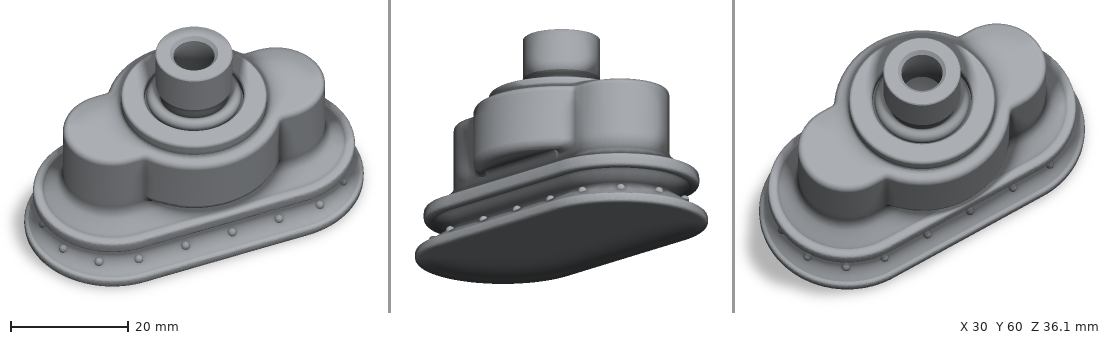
import cadquery as cq
import math

straight_length = 30.0
end_center_y = straight_length / 2
cup_top_z = 23.8

lip_radius = 15.0
lip_top_z = 1.8
lip_flat_radius = 14.2

waist_radius = 9.6
waist_z = 4.85

flange_radius = 13.5
flange_bottom_z = 6.85
flange_top_z = 9.1
flange_flat_radius = 12.8
flange_cone_radius = 11.9

lobe_radius = 8.4
shoulder_radius = 9.25
shoulder_z = 11.2
shoulder_turn = math.atan2(flange_cone_radius - shoulder_radius, shoulder_z - flange_top_z)
shoulder_arc_radius = (shoulder_radius - lobe_radius) / (1 - math.cos(shoulder_turn))
lobe_wall_z = shoulder_z + shoulder_arc_radius * math.sin(shoulder_turn)

drum_radius = 15.0
drum_bottom_z = 12.85
drum_bottom_fillet = 1.5
drum_lobe_fillet = 1.0
top_fillet = 0.95

web_width = 18.35
web_length = 17.9
web_fillet = 0.7

dot_count = 18
dot_radius = 0.8
dot_z = 3.1
dot_offset = 12.0
dot_pitch = 2 * (straight_length + math.pi * lip_radius) / dot_count

fitting_top_z = 36.05
thread_diameter = 13.15
thread_radius = thread_diameter / 2
thread_bottom_z = 28.9
thread_chamfer = 0.2
neck_radius = 5.7
undercut_height = thread_radius - neck_radius
bore_diameter = 7.0
bore_radius = bore_diameter / 2
bore_chamfer = 0.6
bore_depth = 8.4
bore_dish_depth = 1.5

washer_radius = 12.4
washer_top_z = 26.1
washer_fillet = 0.55
washer_foot = 0.2
pocket_radius = 8.5
pocket_floor_z = 24.4
pocket_chamfer = 0.25

ring_section_radius = 1.2
ring_center_radius = neck_radius + ring_section_radius
ring_center_z = pocket_floor_z + ring_section_radius

selection_margin = 0.05


def cup_profile():
    """Half section of the oval cup: outward distance and height."""
    half_turn = shoulder_turn / 2
    shoulder_arc_middle = (
        lobe_radius + shoulder_arc_radius * (1 - math.cos(half_turn)),
        lobe_wall_z - shoulder_arc_radius * math.sin(half_turn),
    )
    lip_rim = [(lip_radius, lip_top_z / 2), (lip_flat_radius, lip_top_z)]
    flange_rim = [
        (flange_radius, (flange_bottom_z + flange_top_z) / 2),
        (flange_flat_radius, flange_top_z),
    ]
    rim_directions = [(1, 0), (0, 1), (-1, 0)]
    return (
        cq.Workplane("XZ")
        .lineTo(lip_flat_radius, 0)
        .spline(lip_rim, tangents=rim_directions, includeCurrent=True)
        .lineTo(waist_radius, waist_z)
        .lineTo(flange_cone_radius, flange_bottom_z)
        .lineTo(flange_flat_radius, flange_bottom_z)
        .spline(flange_rim, tangents=rim_directions, includeCurrent=True)
        .lineTo(flange_cone_radius, flange_top_z)
        .lineTo(shoulder_radius, shoulder_z)
        .threePointArc(shoulder_arc_middle, (lobe_radius, lobe_wall_z))
        .lineTo(0, lobe_wall_z)
        .close()
    )


def oval_base():
    """The half section carried once round the oval."""
    half_run = cup_profile().extrude(straight_length).translate((0, end_center_y, 0))
    round_end = cup_profile().revolve(360, (0, 0), (0, 1)).translate((0, end_center_y, 0))
    run = half_run.union(half_run.mirror("YZ"))
    return run.union(round_end).union(round_end.mirror("XZ"))


def drum():
    """Round drum with a rounded bottom edge."""
    disc = cq.Workplane("XY").workplane(offset=drum_bottom_z).circle(drum_radius)
    disc = disc.extrude(cup_top_z - drum_bottom_z)
    return disc.faces("<Z").edges().fillet(drum_bottom_fillet)


def upper_block():
    """Two lobes and the drum between them, with rounded junctions and top edge."""
    lobes = cq.Workplane("XY").workplane(offset=shoulder_z)
    lobes = lobes.slot2D(straight_length + 2 * lobe_radius, 2 * lobe_radius, 90)
    block = lobes.extrude(cup_top_z - shoulder_z).union(drum())
    reach_x = lobe_radius + selection_margin
    reach_y = math.sqrt(drum_radius**2 - lobe_radius**2) + selection_margin
    junctions = cq.selectors.BoxSelector(
        (-reach_x, -reach_y, drum_bottom_z - selection_margin),
        (reach_x, reach_y, cup_top_z - selection_margin),
    )
    block = block.edges(junctions).fillet(drum_lobe_fillet)
    return block.faces(">Z").edges().fillet(top_fillet)


def drum_web():
    """Flat-sided neck under the drum, flared into its underside."""
    half_width = web_width / 2
    flare_start_z = drum_bottom_z - web_fillet
    return (
        cq.Workplane("XZ")
        .moveTo(-half_width, shoulder_z)
        .lineTo(half_width, shoulder_z)
        .lineTo(half_width, flare_start_z)
        .radiusArc((half_width + web_fillet, drum_bottom_z), web_fillet)
        .lineTo(-half_width - web_fillet, drum_bottom_z)
        .radiusArc((-half_width, flare_start_z), web_fillet)
        .close()
        .extrude(web_length / 2, both=True)
    )


def grip_dots():
    """Small round bumps; one half of the outline repeats half a turn away."""
    centers = []
    for i in range(dot_count // 2):
        travel = i * dot_pitch
        turn = max(0, travel - straight_length) / lip_radius
        x = -dot_offset * math.cos(turn)
        y = end_center_y - min(travel, straight_length) - dot_offset * math.sin(turn)
        centers += [(x, y), (-x, -y)]
    return cq.Workplane("XY").workplane(offset=dot_z).pushPoints(centers).sphere(dot_radius)


def make_cup():
    cup_body = oval_base().union(upper_block()).union(drum_web()).union(grip_dots())
    return cup_body.solids()


def make_washer():
    """Washer with a flared foot, a fitting hole and a chamfered pocket."""
    return (
        cq.Workplane("XZ")
        .moveTo(neck_radius, cup_top_z)
        .lineTo(washer_radius + washer_foot, cup_top_z)
        .lineTo(washer_radius, cup_top_z + washer_foot)
        .lineTo(washer_radius, washer_top_z - washer_fillet)
        .radiusArc((washer_radius - washer_fillet, washer_top_z), -washer_fillet)
        .lineTo(pocket_radius + pocket_chamfer, washer_top_z)
        .lineTo(pocket_radius, washer_top_z - pocket_chamfer)
        .lineTo(pocket_radius, pocket_floor_z)
        .lineTo(neck_radius, pocket_floor_z)
        .close()
        .revolve(360, (0, 0), (0, 1))
    )


def make_fitting():
    """Threaded stud with an undercut neck and a blind bore that ends in a dish."""
    dish_rim_z = fitting_top_z - bore_depth
    dish_bottom_z = dish_rim_z - bore_dish_depth
    dish_radius = (bore_radius**2 + bore_dish_depth**2) / (2 * bore_dish_depth)
    return (
        cq.Workplane("XZ")
        .moveTo(0, cup_top_z)
        .lineTo(neck_radius, cup_top_z)
        .lineTo(neck_radius, thread_bottom_z - undercut_height)
        .lineTo(thread_radius, thread_bottom_z)
        .lineTo(thread_radius, fitting_top_z - thread_chamfer)
        .lineTo(thread_radius - thread_chamfer, fitting_top_z)
        .lineTo(bore_radius + bore_chamfer, fitting_top_z)
        .lineTo(bore_radius, fitting_top_z - bore_chamfer)
        .lineTo(bore_radius, dish_rim_z)
        .radiusArc((0, dish_bottom_z), dish_radius)
        .close()
        .revolve(360, (0, 0), (0, 1))
    )


def make_o_ring():
    return cq.Workplane(
        cq.Solid.makeTorus(ring_center_radius, ring_section_radius, cq.Vector(0, 0, ring_center_z))
    )


cup = make_cup()
washer = make_washer()
fitting = make_fitting()
o_ring = make_o_ring()

result = cq.Compound.makeCompound([cup.val(), washer.val(), fitting.val(), o_ring.val()])